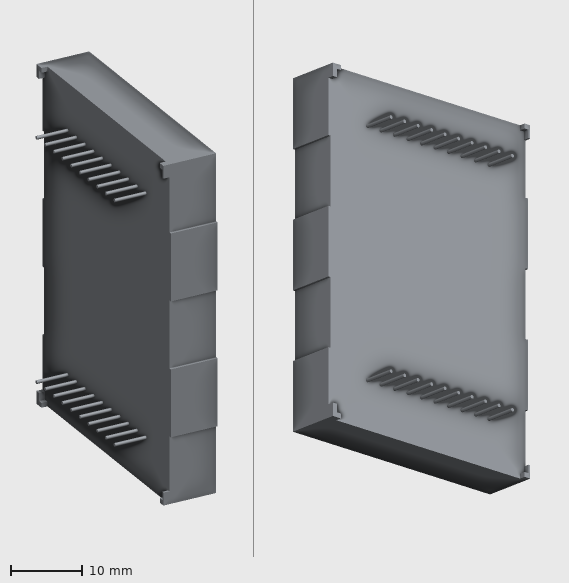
import cadquery as cq

width = 37.65
height = 53.0
overall_depth = 12.45
body_depth = 7.45

band_count = 5
band_height = height / band_count
step_depth = 0.4

foot_height = 0.95
foot_length_x = 1.5
foot_length_z = 2.0
foot_thickness = 0.75

pins_per_row = 10
pin_pitch = 2.55
pin_row_spacing = 38.1
pin_diameter = 0.55
pin_length = overall_depth - body_depth

back_y = overall_depth / 2
pin_face_y = back_y - body_depth
left_x = -width / 2
top_z = height / 2
band_width = width - step_depth


def box_between(x_range, y_range, z_range):
    """Axis-aligned box spanning three (low, high) ranges."""
    sizes = [high - low for low, high in (x_range, y_range, z_range)]
    corner = (x_range[0], y_range[0], z_range[0])
    return cq.Workplane("XY").box(*sizes, centered=False).translate(corner)


def make_body():
    """Stack of bands, every second one shifted sideways by the step depth."""
    body = cq.Workplane("XY")
    for band in range(band_count):
        x_start = left_x + (band % 2) * step_depth
        z_start = -top_z + band * band_height
        body = body.union(box_between(
            (x_start, x_start + band_width),
            (pin_face_y, back_y),
            (z_start, z_start + band_height),
        ))
    return body


def make_feet():
    """Four L-shaped feet; the right pair is trimmed flush with the end bands."""
    foot_y = (pin_face_y - foot_height, pin_face_y)
    outer_x = width / 2
    horizontal_leg = box_between(
        (outer_x - foot_length_x, outer_x), foot_y, (top_z - foot_thickness, top_z)
    )
    vertical_leg = box_between(
        (outer_x - foot_thickness, outer_x), foot_y, (top_z - foot_length_z, top_z)
    )
    top_right_foot = horizontal_leg.union(vertical_leg)
    top_feet = top_right_foot.union(top_right_foot.mirror("YZ"))
    feet = top_feet.union(top_feet.mirror("XY"))
    end_band_prism = box_between((left_x, left_x + band_width), foot_y, (-top_z, top_z))
    return feet.intersect(end_band_prism)


def make_pins():
    """Both rows of pins standing on the pin face and pointing toward -Y."""
    return (
        cq.Workplane("XZ", origin=(0, pin_face_y, 0))
        .rarray(pin_pitch, pin_row_spacing, pins_per_row, 2)
        .circle(pin_diameter / 2)
        .extrude(pin_length)
    )


result = make_body().union(make_feet()).union(make_pins())